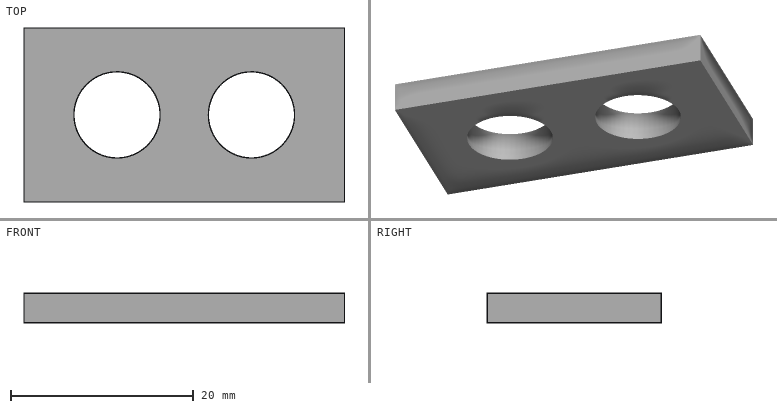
import cadquery as cq

plate_length = 35.05
plate_width = 19.05
plate_thickness = 3.25

hole_diameter = 9.4
hole_spacing = 14.7


def make_plate():
    """Rectangular plate centred on the origin."""
    return cq.Workplane("XY").box(plate_length, plate_width, plate_thickness)


def cut_holes(plate):
    """Cut the two round holes through the full thickness."""
    hole_centres = [(side * hole_spacing / 2, 0) for side in (-1, 1)]
    return plate.faces(">Z").workplane().pushPoints(hole_centres).hole(hole_diameter)


result = cut_holes(make_plate())